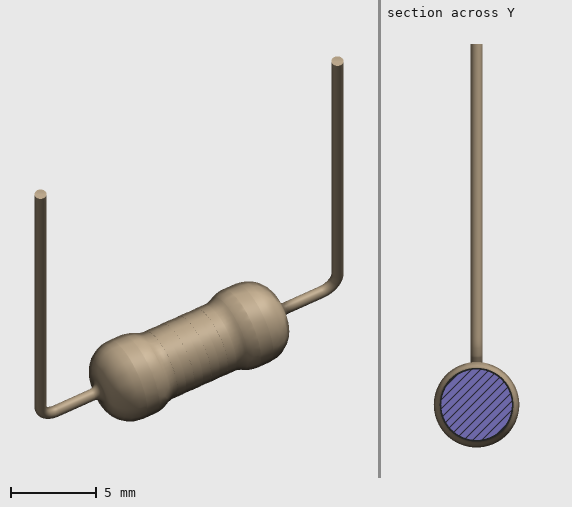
import cadquery as cq
import math

overall_height = 23.6
body_diameter = 5.0
lead_diameter = 0.7
lead_spacing = 20.0
bend_radius = 1.06

body_half_length = 6.05
end_round_length = 1.8
cap_inner_end = 3.42
waist_diameter = 4.25
waist_half_length = 1.98
neck_fillet = 0.47

band_diameter = 4.27
band_count = 4
band_width = 2 * waist_half_length / (2 * band_count - 1)

body_radius = body_diameter / 2
lead_radius = lead_diameter / 2
waist_radius = waist_diameter / 2
lead_y = lead_spacing / 2
lead_top = overall_height - body_radius


def shoulder_points():
    """Points (r, y) along the two equal tangent arcs between cap and waist."""
    drop = body_radius - waist_radius
    length = cap_inner_end - waist_half_length
    radius = (drop**2 + length**2) / (4 * drop)
    half_angle = math.asin(length / 2 / radius) / 2
    sag_length = radius * math.sin(half_angle)
    sag_drop = radius * (1 - math.cos(half_angle))
    waist_mid = (waist_radius + sag_drop, waist_half_length + sag_length)
    inflection = (waist_radius + drop / 2, waist_half_length + length / 2)
    cap_mid = (body_radius - sag_drop, cap_inner_end - sag_length)
    return waist_mid, inflection, cap_mid


def make_end_cap():
    """Rounded body end on the +Y side of the waist, with the fillet onto its lead."""
    waist_mid, inflection, cap_mid = shoulder_points()
    diagonal = math.sqrt(0.5)
    neck_centre_r = lead_radius + neck_fillet
    end_round_depth = body_radius - neck_centre_r
    neck_end = body_half_length + neck_fillet
    neck_mid = (neck_centre_r - neck_fillet * diagonal, neck_end - neck_fillet * diagonal)
    return (
        cq.Workplane("XY")
        .moveTo(0, waist_half_length)
        .lineTo(waist_radius, waist_half_length)
        .threePointArc(waist_mid, inflection)
        .threePointArc(cap_mid, (body_radius, cap_inner_end))
        .lineTo(body_radius, body_half_length - end_round_length)
        .ellipseArc(end_round_depth, end_round_length, 0, 90, startAtCurrent=True)
        .threePointArc(neck_mid, (lead_radius, neck_end))
        .lineTo(0, neck_end)
        .close()
        .revolve(360, (0, 0, 0), (0, 1, 0))
    )


def make_disc(start_y, length, diameter):
    """Cylinder on the body axis, running from start_y toward +Y."""
    return cq.Workplane("XZ", origin=(0, start_y, 0)).circle(diameter / 2).extrude(-length)


def make_lead():
    """Wire on the +Y side: out along Y, round the bend and up."""
    bend_start_y = lead_y - bend_radius
    bend_mid_y = bend_start_y + bend_radius * math.sqrt(0.5)
    bend_mid_z = bend_radius * (1 - math.sqrt(0.5))
    path = (
        cq.Workplane("YZ")
        .moveTo(body_half_length, 0)
        .lineTo(bend_start_y, 0)
        .threePointArc((bend_mid_y, bend_mid_z), (lead_y, bend_radius))
        .lineTo(lead_y, lead_top)
    )
    section = cq.Workplane("XZ", origin=(0, body_half_length, 0)).circle(lead_radius)
    return section.sweep(path)


end_with_lead = make_end_cap().union(make_lead())
result = make_disc(-waist_half_length, 2 * waist_half_length, waist_diameter)
result = result.union(end_with_lead).union(end_with_lead.mirror("XZ"))
for band_index in range(band_count):
    band_start_y = -waist_half_length + 2 * band_index * band_width
    result = result.union(make_disc(band_start_y, band_width, band_diameter))